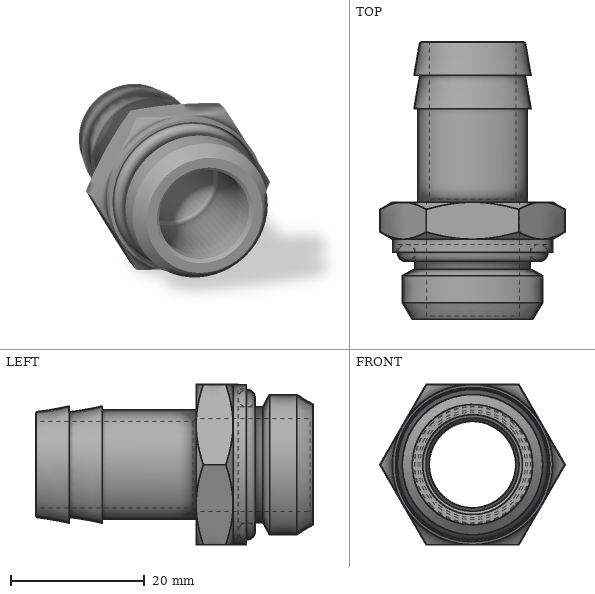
import cadquery as cq
import math

nose_end = 2.5
thread_end = 6.5
neck_start = 7.5
collar_face = 10.0
hex_start = 12.0
hex_end = 17.5
barb_length = 5.0
total_length = 41.5
last_barb_start = total_length - barb_length
first_barb_start = last_barb_start - barb_length

nose_radius = 9.0
thread_radius = 10.5
neck_radius = 8.67
collar_radius = 12.0
stem_radius = 8.2
barb_radius = 8.75
barb_tip_radius = 7.9
barb_tip_fillet = 0.37

hex_circumradius = collar_radius / math.cos(math.pi / 6)
hex_chamfer_angle = math.radians(30)
hex_chamfer_length = (hex_circumradius - collar_radius) * math.tan(hex_chamfer_angle)

bore_radius = 6.47
mouth_radius = 6.97
mouth_chamfer = 0.5
mouth_depth = hex_end
taper_length = mouth_radius - bore_radius

ring_tube_radius = 1.3
ring_center_radius = neck_radius + ring_tube_radius
ring_center_y = 9.95
groove_mouth_radius = 11.55
groove_bottom_radius = ring_center_radius + ring_tube_radius
groove_bottom = ring_center_y + ring_tube_radius


def revolve_profile(points):
    """Turn a closed (radius, y) outline about the Y axis."""
    return cq.Workplane("XY").polyline(points).close().revolve(360, (0, 0, 0), (0, 1, 0))


def make_turned_body():
    """Threaded end, neck, collar with ring groove, stem and two barbs."""
    body = revolve_profile([
        (0, 0),
        (nose_radius, 0),
        (thread_radius, nose_end),
        (thread_radius, thread_end),
        (neck_radius, neck_start),
        (neck_radius, groove_bottom),
        (groove_bottom_radius, groove_bottom),
        (groove_mouth_radius, collar_face),
        (collar_radius, collar_face),
        (collar_radius, hex_end),
        (stem_radius, hex_end),
        (stem_radius, first_barb_start),
        (barb_radius, first_barb_start),
        (barb_tip_radius, last_barb_start),
        (barb_radius, last_barb_start),
        (barb_tip_radius, total_length),
        (0, total_length),
    ])
    return body.faces(">Y").edges().fillet(barb_tip_fillet)


def make_hexagon():
    """Hexagon with corners on the X axis and both ends chamfered conically."""
    prism = (
        cq.Workplane("XZ", origin=(0, hex_start, 0))
        .polygon(6, 2 * hex_circumradius)
        .extrude(hex_start - hex_end)
    )
    chamfer_envelope = revolve_profile([
        (0, hex_start),
        (collar_radius, hex_start),
        (hex_circumradius, hex_start + hex_chamfer_length),
        (hex_circumradius, hex_end - hex_chamfer_length),
        (collar_radius, hex_end),
        (0, hex_end),
    ])
    return prism.intersect(chamfer_envelope)


def make_bore():
    """Stepped through bore as a solid to cut away."""
    return revolve_profile([
        (0, 0),
        (mouth_radius + mouth_chamfer, 0),
        (mouth_radius, mouth_chamfer),
        (mouth_radius, mouth_depth),
        (bore_radius, mouth_depth + taper_length),
        (bore_radius, total_length),
        (0, total_length),
    ])


def make_fitting():
    """Hose fitting in one piece."""
    return make_turned_body().union(make_hexagon()).cut(make_bore())


def make_seal_ring():
    """O-ring around the neck, seated in the collar groove."""
    return (
        cq.Workplane("XY")
        .center(ring_center_radius, ring_center_y)
        .circle(ring_tube_radius)
        .revolve(360, (-ring_center_radius, 0, 0), (-ring_center_radius, 1, 0))
    )


fitting = make_fitting()
seal_ring = make_seal_ring()
result = cq.Compound.makeCompound([fitting.val(), seal_ring.val()])